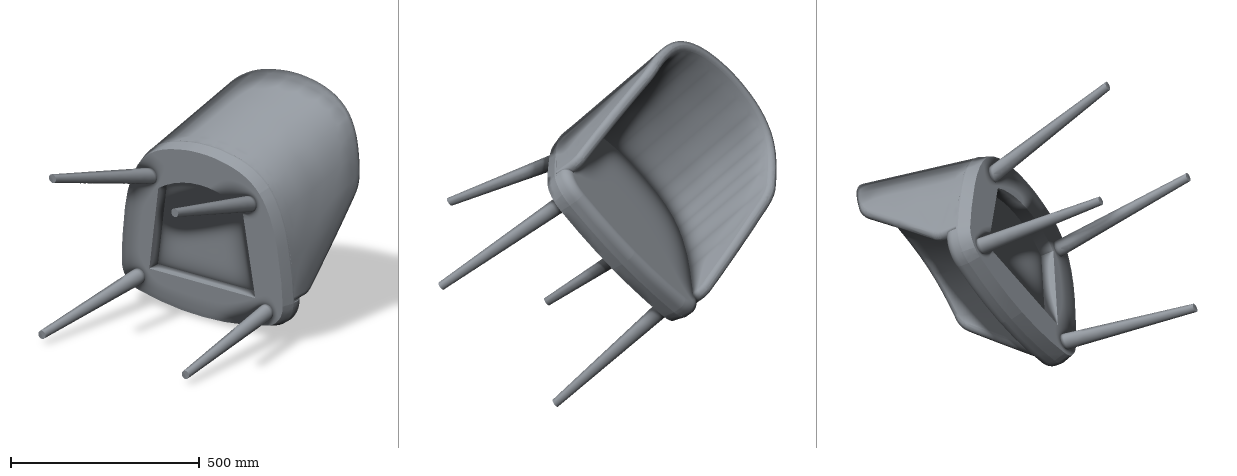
import cadquery as cq
import math

SEAT_HEIGHT = 392.0
SEAT_TILT = 1.9

HALF_WIDTH = 278.0
DEPTH = 493.0
FRONT_RADIUS = 882.5
CORNER_RADIUS = 80.0
SIDE_RADIUS = 882.5
SHOULDER_RADIUS = 184.5
BACK_RADIUS = 409.0

RAIL_DRAFT_HEIGHT = 33.0
BAND_HEIGHT = 5.0
RAIL_HEIGHT = RAIL_DRAFT_HEIGHT + BAND_HEIGHT
RAIL_DRAFT = 10.5
OPENING_FRONT = (176.5, 107.5)
OPENING_BACK = (140.0, 348.0)
OPENING_BACK_APEX = 391.0
MITRE_SLOPE_FRONT = 0.88
MITRE_SLOPE_BACK = 1.14
MITRE_REACH = 481.0

SHELL_THICKNESS = 30.5
SHELL_LEAN = 11.4
ARM_FRONT = 106.0
RIM_POINTS = [(118.0, 118.0), (325.0, 357.0), (543.0, 426.0)]
RIM_EDGE_RADIUS = 14.5
ARM_BEND_RADIUS = 50.0
BACK_BEND_RADIUS = 104.0
SHELL_REACH = 481.0

CUSHION_THICKNESS = 38.5
CUSHION_EDGE_RADIUS = 24.0

LEG_TOP_RADIUS = 22.0
FOOT_RADIUS = 11.6
COLLAR_LENGTH = 8.0
FRONT_LEG_TOP = (213.0, 77.0)
FRONT_FOOT = (239.0, 26.0)
BACK_LEG_TOP = (166.0, 377.0)
BACK_FOOT = (204.0, 480.0)


def point_on(center, radius, toward):
    """Point of a circle on the line from its center to another point."""
    length = math.dist(center, toward)
    return tuple(c + radius * (t - c) / length for c, t in zip(center, toward))


def mid_arc(center, radius, start, end):
    """Middle point of the arc from start to end."""
    chord_middle = tuple((s + e) / 2 for s, e in zip(start, end))
    return point_on(center, radius, chord_middle)


def mirror(point):
    """The same point on the other side of the chair."""
    return (-point[0], point[1])


FRONT_CENTER = (0.0, FRONT_RADIUS)
CORNER_X = HALF_WIDTH - CORNER_RADIUS
CORNER_CENTER = (CORNER_X, FRONT_RADIUS - math.sqrt((FRONT_RADIUS - CORNER_RADIUS) ** 2 - CORNER_X**2))
SIDE_CENTER = (HALF_WIDTH - SIDE_RADIUS, CORNER_CENTER[1])
BACK_CENTER = (0.0, DEPTH - BACK_RADIUS)


def shoulder_center():
    """Center of the shoulder arc, which touches the side and back arcs from inside."""
    from_side = SIDE_RADIUS - SHOULDER_RADIUS
    from_back = BACK_RADIUS - SHOULDER_RADIUS
    gap = math.dist(SIDE_CENTER, BACK_CENTER)
    along = (from_side**2 - from_back**2 + gap**2) / (2 * gap)
    across = math.sqrt(from_side**2 - along**2)
    ux, uy = ((b - s) / gap for s, b in zip(SIDE_CENTER, BACK_CENTER))
    return (SIDE_CENTER[0] + along * ux - across * uy, SIDE_CENTER[1] + along * uy + across * ux)


SHOULDER_CENTER = shoulder_center()


def side_and_back_points(inset, side_start):
    """Ends and middles of the +x half's side, shoulder and back arcs, all shrunk by an inset."""
    side_r = SIDE_RADIUS - inset
    shoulder_r = SHOULDER_RADIUS - inset
    back_r = BACK_RADIUS - inset
    side_end = point_on(SIDE_CENTER, side_r, SHOULDER_CENTER)
    back_start = point_on(BACK_CENTER, back_r, SHOULDER_CENTER)
    back_middle = (0.0, DEPTH - inset)
    return [
        side_start,
        mid_arc(SIDE_CENTER, side_r, side_start, side_end),
        side_end,
        mid_arc(SHOULDER_CENTER, shoulder_r, side_end, back_start),
        back_start,
        mid_arc(BACK_CENTER, back_r, back_start, back_middle),
        back_middle,
    ]


def seat_outline(inset, z):
    """Closed plan outline of the seat at height z, shrunk evenly by an inset."""
    front_r = FRONT_RADIUS - inset
    corner_r = CORNER_RADIUS - inset
    front_end = point_on(FRONT_CENTER, front_r, CORNER_CENTER)
    side_start = (HALF_WIDTH - inset, CORNER_CENTER[1])
    front_middle = (0.0, inset)
    front_bow = mid_arc(FRONT_CENTER, front_r, front_middle, front_end)
    corner = mid_arc(CORNER_CENTER, corner_r, front_end, side_start)
    half = side_and_back_points(inset, side_start)
    return (
        cq.Workplane("XY", origin=(0, 0, z))
        .moveTo(*front_middle)
        .threePointArc(front_bow, front_end)
        .threePointArc(corner, side_start)
        .spline(half[1:], tangents=[(0, 1), (-1, 0)], includeCurrent=True)
        .mirrorY()
        .val()
    )


def wall_outline(inset, z):
    """Side and back outline of the shell at height z, closed by a line ahead of the arms."""
    side_start = (HALF_WIDTH - inset, CORNER_CENTER[1])
    half = [(side_start[0], 0.0)] + side_and_back_points(inset, side_start)
    around = half + [mirror(p) for p in reversed(half[:-1])]
    return (
        cq.Workplane("XY", origin=(0, 0, z))
        .spline(around, tangents=[(0, 1), (0, -1)])
        .close()
        .val()
    )


def prism(outline, height, lean=0.0):
    """Solid between an outline and its copy higher up, leaning to the back."""
    rise = cq.Vector(0, height * math.tan(math.radians(lean)), height)
    return cq.Workplane(cq.Solid.extrudeLinear(outline, [], rise))


def make_rail_ring():
    """The four rails in one piece, with the opening through the middle."""
    lower = seat_outline(RAIL_DRAFT, 0)
    upper = seat_outline(0, RAIL_DRAFT_HEIGHT)
    drafted = cq.Workplane(cq.Solid.makeLoft([lower, upper], True))
    band = prism(seat_outline(0, RAIL_DRAFT_HEIGHT), BAND_HEIGHT)
    opening = (
        cq.Workplane("XY")
        .moveTo(*mirror(OPENING_FRONT))
        .lineTo(*OPENING_FRONT)
        .lineTo(*OPENING_BACK)
        .threePointArc((0, OPENING_BACK_APEX), mirror(OPENING_BACK))
        .close()
        .extrude(RAIL_HEIGHT)
    )
    return drafted.union(band).cut(opening)


def make_rails():
    """Front, back and two side rails, parted by mitres from the corners of the opening."""
    ring = make_rail_ring()
    far_front = (OPENING_FRONT[0] + MITRE_REACH, OPENING_FRONT[1] - MITRE_SLOPE_FRONT * MITRE_REACH)
    far_back = (OPENING_BACK[0] + MITRE_REACH, OPENING_BACK[1] + MITRE_SLOPE_BACK * MITRE_REACH)
    regions = [
        [OPENING_FRONT, far_front, mirror(far_front), mirror(OPENING_FRONT)],
        [OPENING_BACK, far_back, mirror(far_back), mirror(OPENING_BACK)],
        [OPENING_FRONT, far_front, far_back, OPENING_BACK],
        [mirror(p) for p in (OPENING_FRONT, far_front, far_back, OPENING_BACK)],
    ]
    return [ring.intersect(cq.Workplane("XY").polyline(r).close().extrude(RAIL_HEIGHT)) for r in regions]


def shell_inside():
    """Leaning space enclosed by the shell's wall."""
    return prism(wall_outline(SHELL_THICKNESS, RAIL_HEIGHT), SHELL_REACH, SHELL_LEAN)


def make_shell():
    """Leaning wall with rounded rim edges, open at the front between the arms."""
    outer = prism(wall_outline(0, RAIL_HEIGHT), SHELL_REACH, SHELL_LEAN)
    arm_end, bend, back_end = RIM_POINTS
    arm_rise = (bend[1] - arm_end[1]) / (bend[0] - arm_end[0])
    arm_bend = (ARM_FRONT, arm_end[1] - arm_rise * (arm_end[0] - ARM_FRONT))
    back_rise = (back_end[1] - bend[1]) / (back_end[0] - bend[0])
    behind = DEPTH + SHELL_REACH
    behind_top = (behind, bend[1] + back_rise * (behind - bend[0]))
    side_profile = (
        cq.Workplane("YZ")
        .polyline([(ARM_FRONT, RAIL_HEIGHT), arm_bend, bend, behind_top, (behind, RAIL_HEIGHT)])
        .close()
        .extrude(2 * HALF_WIDTH, both=True)
    )

    for (y, z), radius in ((arm_bend, ARM_BEND_RADIUS), (bend, BACK_BEND_RADIUS)):
        bend_edge = cq.selectors.NearestToPointSelector((0, y, z))
        side_profile = side_profile.edges(bend_edge).fillet(radius)
    wall = outer.cut(shell_inside()).intersect(side_profile)
    return wall.edges("%BSPLINE").edges("not <Z").fillet(RIM_EDGE_RADIUS)


def make_cushion():
    """Seat cushion: full width ahead of the arms and between the shell's walls behind them."""
    plate = prism(seat_outline(0, RAIL_HEIGHT), CUSHION_THICKNESS)
    plate = plate.faces(">Z").edges().fillet(CUSHION_EDGE_RADIUS)
    ahead_of_arms = cq.Workplane("XY").box(
        3 * HALF_WIDTH, 2 * ARM_FRONT, 2 * (RAIL_HEIGHT + CUSHION_THICKNESS)
    )
    return plate.intersect(ahead_of_arms).union(plate.intersect(shell_inside()))


seat_plane = cq.Plane(
    origin=(0, SEAT_HEIGHT, 0),
    xDir=(-1, 0, 0),
    normal=(0, math.cos(math.radians(SEAT_TILT)), math.sin(math.radians(SEAT_TILT))),
)


def underside_height(z):
    """Height of the rails' underside above the floor at depth z."""
    return SEAT_HEIGHT - z * math.tan(math.radians(SEAT_TILT))


def space_under_rails():
    """Space between the floor and the plane of the rails' underside."""
    front, back = -DEPTH, 2 * DEPTH
    profile = [(0, front), (0, back), (underside_height(back), back), (underside_height(front), front)]
    return cq.Workplane("YZ").polyline(profile).close().extrude(2 * HALF_WIDTH, both=True)


def make_leg(top, foot, side):
    """Tapered leg with a short straight collar, trimmed by the floor and by the rails' underside."""
    top_center = cq.Vector(side * top[0], underside_height(top[1]), top[1])
    foot_center = cq.Vector(side * foot[0], 0, foot[1])
    axis = (top_center - foot_center).normalized()
    length = (top_center - foot_center).Length
    overrun = LEG_TOP_RADIUS
    taper = (LEG_TOP_RADIUS - FOOT_RADIUS) / (length - COLLAR_LENGTH)
    half_section = [
        (-overrun, 0),
        (-overrun, FOOT_RADIUS - taper * overrun),
        (length - COLLAR_LENGTH, LEG_TOP_RADIUS),
        (length + overrun, LEG_TOP_RADIUS),
        (length + overrun, 0),
    ]
    section_plane = cq.Plane(foot_center, xDir=axis, normal=axis.cross(cq.Vector(0, 0, -1)))
    blank = cq.Workplane(section_plane).polyline(half_section).close().revolve(360, (0, 0), (1, 0))
    return blank.intersect(space_under_rails())


rails = make_rails()
shell = make_shell()
cushion = make_cushion()
legs = [
    make_leg(top, foot, side)
    for top, foot in ((FRONT_LEG_TOP, FRONT_FOOT), (BACK_LEG_TOP, BACK_FOOT))
    for side in (-1, 1)
]

seat_location = cq.Location(seat_plane)
seat_bodies = [body.val().moved(seat_location) for body in (*rails, shell, cushion)]
result = cq.Compound.makeCompound([*seat_bodies, *(leg.val() for leg in legs)])